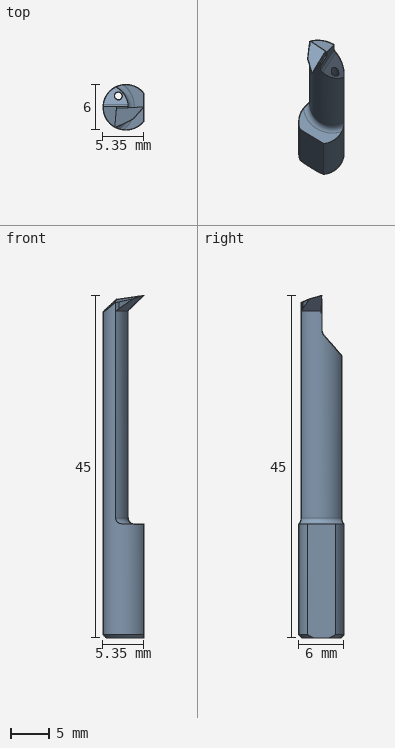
import cadquery as cq
import math

length = 45.0
shank_diameter = 6.0
shank_radius = shank_diameter / 2
width_x = 5.35
flat_x = width_x - shank_radius

shank_length = 15.0
chamfer = 0.45
neck_right_x = 0.3
neck_arc_center_x = neck_right_x - shank_radius
neck_fillet = 0.8

wall_y = 0.1
wall_bottom_z = 40.05
ramp_angle = 49.0
ramp_fillet = 1.12

coolant_diameter = 1.0
coolant_x = -1.0
coolant_y = 1.5

head_bottom_z = 42.98
tip_y = 0.05
flank_start = (-0.9, -2.48)
flank_end = (flat_x, -0.85)
ridge_x = -1.2
ridge_z = 44.5
ridge_rake_y = -0.15
groove_floor_z = 42.7
back_slope_point = (-shank_radius, 0, 42.85)
top_slope_y = 0.16
back_slope_y = 0.09
underside_slope_y = 0.6
cutter_size = 3 * shank_diameter


def cylinder(radius, bottom, top, x=0, y=0):
    """Vertical cylinder between two heights."""
    return cq.Workplane("XY", origin=(x, y, bottom)).circle(radius).extrude(top - bottom)


def cut_above_plane(body, point, outward):
    """Remove everything on the outward side of a plane through a point."""
    plane = cq.Plane(origin=point, xDir=(0, 1, 0), normal=outward)
    cutter = cq.Workplane(plane).rect(cutter_size, cutter_size).extrude(cutter_size)
    return body.cut(cutter)


def make_shank():
    """Full-height round bar, chamfered at the bottom and flat on the +X side."""
    bar = cylinder(shank_radius, 0, length).faces("<Z").chamfer(chamfer)
    keep = cq.Workplane("XY").box(width_x, shank_diameter, length, centered=(False, True, False))
    return bar.intersect(keep.translate((-shank_radius, 0, 0)))


def make_neck_envelope():
    """Offset round column with a flared foot, standing on a full-size shank block."""
    flare_top = shank_length + neck_fillet
    flare_radius = shank_radius + neck_fillet
    diagonal = neck_fillet * (1 - math.sqrt(0.5))
    column = (
        cq.Workplane("XZ")
        .moveTo(0, shank_length)
        .lineTo(flare_radius, shank_length)
        .threePointArc((shank_radius + diagonal, shank_length + diagonal), (shank_radius, flare_top))
        .lineTo(shank_radius, length)
        .lineTo(0, length)
        .close()
        .revolve(360, (0, 0, 0), (0, 1, 0))
        .translate((neck_arc_center_x, 0, 0))
    )
    return cylinder(shank_diameter, 0, shank_length).union(column)


def make_head_block():
    """Overhanging block that carries the cutting tip, bounded by the flank."""
    return (
        cq.Workplane("XY", origin=(0, 0, head_bottom_z))
        .moveTo(*flank_start)
        .lineTo(*flank_end)
        .lineTo(flat_x, tip_y)
        .lineTo(ridge_x, ridge_rake_y)
        .close()
        .extrude(length - head_bottom_z)
    )


def make_clearance_cut():
    """Remove the +Y half beside the head, ending in a filleted ramp."""
    ramp_run = shank_diameter
    ramp_bottom_z = wall_bottom_z - ramp_run * math.tan(math.radians(ramp_angle))
    profile = (
        cq.Workplane("YZ")
        .moveTo(wall_y, length + 0.45)
        .lineTo(wall_y, wall_bottom_z)
        .lineTo(wall_y + ramp_run, ramp_bottom_z)
        .lineTo(wall_y + ramp_run, length + 0.45)
        .close()
        .extrude(shank_radius, both=True)
    )
    inner_edge = cq.selectors.NearestToPointSelector((0, wall_y, wall_bottom_z))
    return profile.edges(inner_edge).fillet(ramp_fillet)


def make_rake_cut():
    """Chip space that leaves the rake face slightly inclined towards the tip."""
    return (
        cq.Workplane("XY", origin=(0, 0, groove_floor_z))
        .moveTo(ridge_x, ridge_rake_y)
        .lineTo(flat_x, tip_y)
        .lineTo(flat_x, shank_radius)
        .lineTo(ridge_x, shank_radius)
        .close()
        .extrude(length - groove_floor_z)
    )


body = make_shank().intersect(make_neck_envelope())
body = body.union(make_head_block())
body = body.cut(make_clearance_cut())
body = body.cut(make_rake_cut())

top_slope_x = (length - ridge_z) / (flat_x - ridge_x)
back_slope_x = (ridge_z - back_slope_point[2]) / (ridge_x + shank_radius)

tip = (flat_x, tip_y, length)
body = cut_above_plane(body, tip, (-top_slope_x, -top_slope_y, 1))
body = cut_above_plane(body, back_slope_point, (-back_slope_x, -back_slope_y, 1))

underside_plane = cq.Plane(origin=tip, xDir=(0, 1, 0), normal=(1, -underside_slope_y, -1))
underside_cutter = cq.Workplane(underside_plane).rect(cutter_size, cutter_size).extrude(cutter_size)
head_zone = cylinder(shank_diameter, head_bottom_z, length)
body = body.cut(underside_cutter.intersect(head_zone))

result = body.cut(cylinder(coolant_diameter / 2, 0, length, coolant_x, coolant_y))